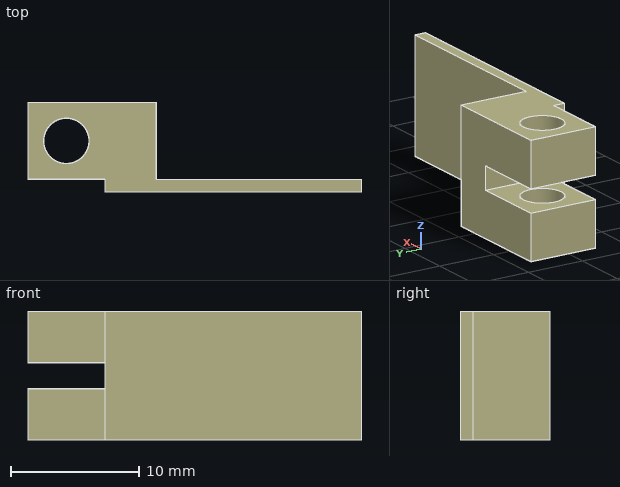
import cadquery as cq

length = 26.0
height = 10.0

plate_start = 6.0
plate_thickness = 1.0

block_length = 10.0
block_depth = 6.0

slot_height = 2.0
slot_overrun = 0.5
slot_depth = plate_start + slot_overrun

pin_diameter = 3.5
pin_x = plate_start / 2
pin_y = plate_thickness + block_depth / 2


def make_plate():
    plate_length = length - plate_start
    plate = cq.Workplane("XY").box(plate_length, plate_thickness, height, centered=False)
    return plate.translate((plate_start, 0, 0))


def make_block():
    block = cq.Workplane("XY").box(block_length, block_depth, height, centered=False)
    return block.translate((0, plate_thickness, 0))


def make_slot():
    slot = cq.Workplane("XY").box(slot_depth, block_depth, slot_height, centered=False)
    return slot.translate((0, plate_thickness, (height - slot_height) / 2))


def make_pin_hole():
    return cq.Workplane("XY").center(pin_x, pin_y).circle(pin_diameter / 2).extrude(height)


result = make_plate().union(make_block()).cut(make_slot()).cut(make_pin_hole())